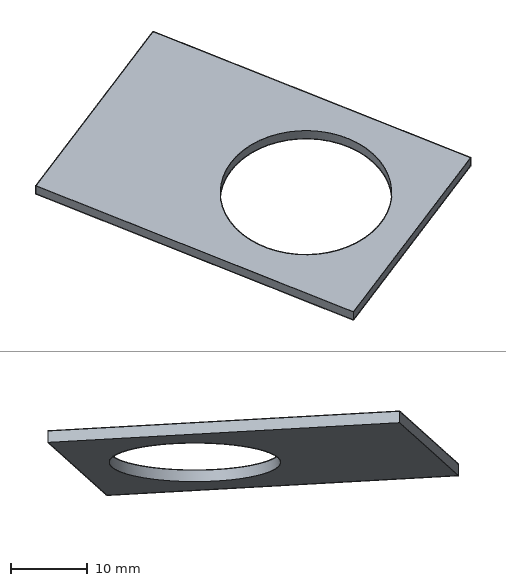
import cadquery as cq

length = 47.25
width = 31.75
thickness = 1.55

hole_diameter = 22.35
hole_offset = 7.85

plate = cq.Workplane("XY").box(length, width, thickness)

result = (
    plate.faces(">Z")
    .workplane()
    .center(hole_offset, 0)
    .hole(hole_diameter)
)